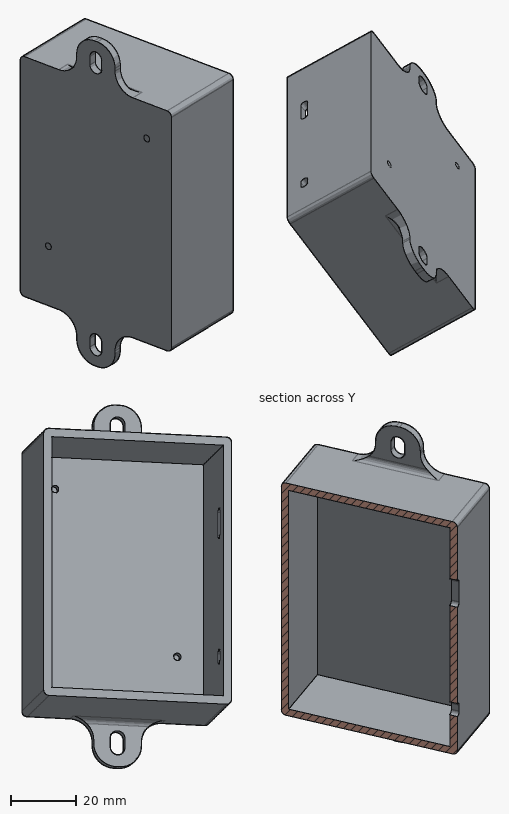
import cadquery as cq

total_height = 113.6
box_width = 59.1
box_depth = 30.5
box_height = 83.9
corner_radius = 1.7
wall_thickness = 2.6

ear_width = 15.0
ear_thickness = wall_thickness
ear_tip_radius = 6.9
ear_root_radius = 6.9
ear_fillet_radius = 1.8
ear_slot_width = 4.5
ear_slot_length = 7.5
ear_slot_inset = 7.5

wall_slots = [(16.2, 9.5), (-25.7, 4.5)]
wall_slot_width = 2.4
wall_slot_inset = 6.2

pilot_holes = [(-18.7, -21.4), (19.6, 29.4)]
pilot_diameter = 2.3
pilot_skin = 0.28

box_top = box_height / 2
ear_top = total_height / 2


def front_plane(y=0.0):
    """XZ workplane at depth y whose negative extrusions run towards +Y."""
    return cq.Workplane(cq.Plane((0, y, 0), xDir=(1, 0, 0), normal=(0, -1, 0)))


def make_box():
    block = cq.Workplane("XY").box(box_width, box_depth, box_height, centered=(True, False, True))
    block = block.edges("|Y").fillet(corner_radius)
    return block.faces(">Y").shell(-wall_thickness)


def make_ear():
    """Upper ear: flared outline with a concave fillet behind its root."""
    half = ear_width / 2
    root_half = half + ear_root_radius
    tip_half = half - ear_tip_radius
    root_z = box_top + ear_root_radius
    tip_z = ear_top - ear_tip_radius
    embed_z = box_top - wall_thickness / 2
    outline = (
        front_plane()
        .moveTo(-root_half, embed_z)
        .lineTo(-root_half, box_top)
        .radiusArc((-half, root_z), -ear_root_radius)
        .lineTo(-half, tip_z)
        .radiusArc((-tip_half, ear_top), ear_tip_radius)
        .lineTo(tip_half, ear_top)
        .radiusArc((half, tip_z), ear_tip_radius)
        .lineTo(half, root_z)
        .radiusArc((root_half, box_top), -ear_root_radius)
        .lineTo(root_half, embed_z)
        .close()
        .extrude(-(ear_thickness + ear_fillet_radius))
    )
    side_profile = (
        cq.Workplane("YZ", origin=(-root_half, 0, 0))
        .moveTo(0, embed_z)
        .lineTo(0, ear_top)
        .lineTo(ear_thickness, ear_top)
        .lineTo(ear_thickness, box_top + ear_fillet_radius)
        .radiusArc((ear_thickness + ear_fillet_radius, box_top), -ear_fillet_radius)
        .lineTo(ear_thickness + ear_fillet_radius, embed_z)
        .close()
        .extrude(2 * root_half)
    )
    slot = (
        front_plane()
        .center(0, ear_top - ear_slot_inset)
        .slot2D(ear_slot_length, ear_slot_width, 90)
        .extrude(-ear_thickness)
    )
    return outline.intersect(side_profile).cut(slot)


def make_wall_slot(center_z, length):
    return (
        cq.Workplane("YZ", origin=(-box_width / 2, box_depth - wall_slot_inset, center_z))
        .slot2D(length, wall_slot_width, 90)
        .extrude(wall_thickness)
    )


def make_pilot_holes():
    return (
        front_plane(pilot_skin)
        .pushPoints(pilot_holes)
        .circle(pilot_diameter / 2)
        .extrude(pilot_skin - wall_thickness)
    )


ear = make_ear()
result = make_box().union(ear).union(ear.mirror("XY"))
for center_z, length in wall_slots:
    result = result.cut(make_wall_slot(center_z, length))
result = result.cut(make_pilot_holes())